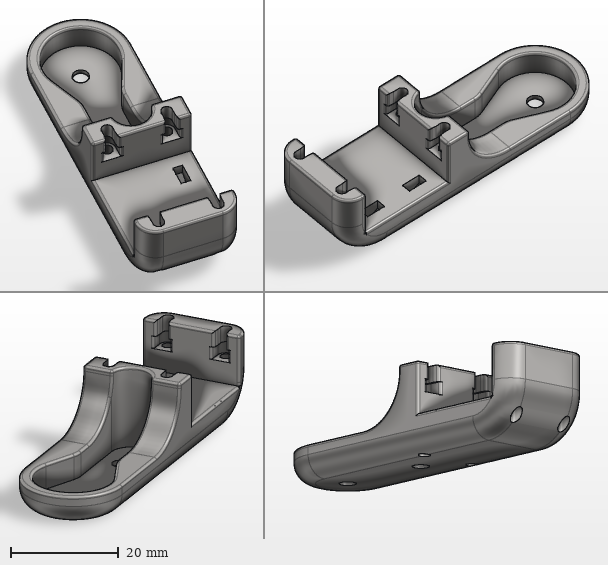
import cadquery as cq
import math

LENGTH = 65.0
WIDTH = 20.0
HEIGHT = 17.0
HALF_WIDTH = WIDTH / 2

END_CURVE_RADIUS = 10.0
SHELL_RADIUS = 4.0
EDGE_RADIUS = 0.5

HEAD_TOP = 6.0
TRAY_FLOOR = 7.0
PILLAR_WIDTH = 5.25
TRAY_START = 40.0
HOOK_FACE = 60.0
RAMP_RADIUS = 10.0
PILLAR_START = TRAY_START - PILLAR_WIDTH
RAMP_START = PILLAR_START - RAMP_RADIUS

KEY_FLOOR = 1.0
KEY_HEAD_X = HALF_WIDTH
KEY_HEAD_RADIUS = 7.6
KEY_END_X = 34.4
KEY_END_RADIUS = 3.95
NECK_X = 20.3
NECK_RADIUS = 5.2
SCREW_DIAMETER = 3.2
SCREW_XS = (KEY_HEAD_X, 29.95)

PIN_DIAMETER = 2.2
PIN_Y = 6.0
PIN_INSET = 2.55
SLOT_MOUTH = 2.4
THROAT_DEPTH = 1.4
WINDOW_WIDTH = 3.4
WINDOW_FLOOR = 11.4
WINDOW_TOP = 13.85

SOCKET_LENGTH = 4.1
SOCKET_WIDTH = 1.95
SOCKET_DEPTH = 2.0
SOCKET_SLOPE = 30.0
SOCKET_XS = (44.8, 55.0)

TOLERANCE = 0.005
MARGIN = 0.65


def outer_shell():
    shell = (
        cq.Workplane("XY")
        .moveTo(LENGTH, -HALF_WIDTH)
        .lineTo(LENGTH, HALF_WIDTH)
        .lineTo(HALF_WIDTH, HALF_WIDTH)
        .threePointArc((0, 0), (HALF_WIDTH, -HALF_WIDTH))
        .close()
        .extrude(HEIGHT)
    )
    shell = shell.faces(">X").edges("<Z").fillet(END_CURVE_RADIUS)
    return shell.faces("<Z").edges("<X").fillet(SHELL_RADIUS)


def relief_cutter():
    """Space above the head and ramp, and the tray between pillar and hook."""
    above = HEIGHT + MARGIN
    ramp_mid = RAMP_RADIUS * math.sqrt(0.5)
    ramp_centre_z = HEAD_TOP + RAMP_RADIUS
    head = (
        cq.Workplane("XZ")
        .moveTo(-MARGIN, HEAD_TOP)
        .lineTo(RAMP_START, HEAD_TOP)
        .threePointArc(
            (RAMP_START + ramp_mid, ramp_centre_z - ramp_mid),
            (PILLAR_START, ramp_centre_z),
        )
        .lineTo(PILLAR_START, above)
        .lineTo(-MARGIN, above)
        .close()
        .extrude(HALF_WIDTH + MARGIN, both=True)
    )
    tray = (
        cq.Workplane("XZ")
        .moveTo(TRAY_START, TRAY_FLOOR)
        .lineTo(HOOK_FACE, TRAY_FLOOR)
        .lineTo(HOOK_FACE, above)
        .lineTo(TRAY_START, above)
        .close()
        .extrude(HALF_WIDTH + MARGIN, both=True)
    )
    return head.union(tray)


def keyhole_cutter():
    dx = NECK_X - KEY_HEAD_X
    corner_distance = math.hypot(dx, KEY_END_RADIUS)
    flare = math.asin(KEY_HEAD_RADIUS / corner_distance) - math.atan2(KEY_END_RADIUS, dx)
    tangent_x = KEY_HEAD_X + KEY_HEAD_RADIUS * math.sin(flare)
    tangent_y = KEY_HEAD_RADIUS * math.cos(flare)
    key = (
        cq.Workplane("XY", origin=(0, 0, KEY_FLOOR))
        .moveTo(tangent_x, tangent_y)
        .lineTo(NECK_X, KEY_END_RADIUS)
        .lineTo(KEY_END_X, KEY_END_RADIUS)
        .threePointArc((KEY_END_X + KEY_END_RADIUS, 0), (KEY_END_X, -KEY_END_RADIUS))
        .lineTo(NECK_X, -KEY_END_RADIUS)
        .lineTo(tangent_x, -tangent_y)
        .threePointArc((KEY_HEAD_X - KEY_HEAD_RADIUS, 0), (tangent_x, tangent_y))
        .close()
        .extrude(HEIGHT)
    )
    neck = cq.selectors.BoxSelector(
        (NECK_X - TOLERANCE, -WIDTH, 0),
        (NECK_X + TOLERANCE, WIDTH, 2 * HEIGHT),
    )
    return key.edges("|Z").edges(neck).fillet(NECK_RADIUS)


def slab(x_range, z_range):
    """Block between two x and two z planes, wider than the part."""
    x_size = x_range[1] - x_range[0]
    z_size = z_range[1] - z_range[0]
    block = cq.Workplane("XY").box(x_size, 2 * WIDTH, z_size, centered=(False, True, False))
    return block.translate((x_range[0], 0, z_range[0]))


def is_exposed_front_edge(edge):
    """True for the convex edges of the head, ramp, pillar and tray sides."""
    middle = edge.positionAt(0.5)
    along_y = abs(edge.tangentAt(0.5).y) > 0.65 - TOLERANCE
    flat_seam = along_y and middle.x > KEY_HEAD_X and middle.z < HEIGHT - TOLERANCE
    inside_keyhole = abs(middle.x - KEY_END_X) < TOLERANCE
    above_side = middle.z > HEAD_TOP - TOLERANCE
    in_front = middle.x < HOOK_FACE - TOLERANCE
    return above_side and in_front and not flat_seam and not inside_keyhole


def is_exposed_hook_edge(edge):
    """True for the top rim of the hook and the two upright edges of its inner face."""
    middle = edge.positionAt(0.5)
    on_rim = middle.z > HEIGHT - TOLERANCE
    on_face = abs(middle.x - HOOK_FACE) < TOLERANCE
    return on_rim or (on_face and abs(middle.y) > HALF_WIDTH - TOLERANCE)


def round_edges(solid, is_chosen):
    chosen = [edge for edge in solid.edges().vals() if is_chosen(edge)]
    return solid.newObject(chosen).fillet(EDGE_RADIUS)


def rounded_body():
    """Stepped body; front and hook are rounded apart so that each rounding ends at the hook face."""
    sharp = outer_shell().cut(relief_cutter()).cut(keyhole_cutter())
    full_height = (-MARGIN, HEIGHT + MARGIN)
    hook_span = (HOOK_FACE, LENGTH + MARGIN)
    front = sharp.intersect(slab((-MARGIN, HOOK_FACE), full_height))
    heel = sharp.intersect(slab(hook_span, (-MARGIN, TRAY_FLOOR)))
    hook = sharp.intersect(slab(hook_span, (TRAY_FLOOR, HEIGHT + MARGIN)))
    front = round_edges(front, is_exposed_front_edge)
    hook = round_edges(hook, is_exposed_hook_edge)
    return front.union(heel).union(hook)


def slot_outline(base_z, mouth_half, throat_x, throat_half):
    """Closed slot plan from a rounded mouth at x = 0, facing -X, to a round end on the pin axis."""
    lip = EDGE_RADIUS
    mid = lip * (1 - math.sqrt(0.5))
    return (
        cq.Workplane("XY", origin=(0, 0, base_z))
        .moveTo(-MARGIN, mouth_half + lip)
        .lineTo(0, mouth_half + lip)
        .threePointArc((mid, mouth_half + mid), (lip, mouth_half))
        .lineTo(throat_x, throat_half)
        .lineTo(PIN_INSET, throat_half)
        .threePointArc((PIN_INSET + throat_half, 0), (PIN_INSET, -throat_half))
        .lineTo(throat_x, -throat_half)
        .lineTo(lip, -mouth_half)
        .threePointArc((mid, -mouth_half - mid), (0, -mouth_half - lip))
        .lineTo(-MARGIN, -mouth_half - lip)
        .close()
    )


def pin_slot_cutters():
    """Pin hole below the window, the window itself, and the narrower entry slot above it."""
    pin_radius = PIN_DIAMETER / 2
    window_half = WINDOW_WIDTH / 2
    hole = (
        cq.Workplane("XY", origin=(PIN_INSET, 0, -MARGIN))
        .circle(pin_radius)
        .extrude(WINDOW_FLOOR + 2 * MARGIN)
    )
    window = slot_outline(WINDOW_FLOOR, window_half, THROAT_DEPTH, window_half)
    window = window.extrude(WINDOW_TOP - WINDOW_FLOOR)
    entry = slot_outline(WINDOW_TOP - MARGIN, SLOT_MOUTH / 2, THROAT_DEPTH, pin_radius)
    entry = entry.extrude(HEIGHT - WINDOW_TOP + 2 * MARGIN)
    return hole, window, entry


def socket_cutter():
    """Rectangular socket whose floor falls from both ends to a valley across its middle."""
    half = SOCKET_LENGTH / 2
    valley = SOCKET_DEPTH + half * math.tan(math.radians(SOCKET_SLOPE))
    return (
        cq.Workplane("XZ")
        .moveTo(-half, MARGIN)
        .lineTo(half, MARGIN)
        .lineTo(half, -SOCKET_DEPTH)
        .lineTo(0, -valley)
        .lineTo(-half, -SOCKET_DEPTH)
        .close()
        .extrude(SOCKET_WIDTH / 2, both=True)
    )


body = rounded_body()

for screw_x in SCREW_XS:
    screw_hole = cq.Workplane("XY").center(screw_x, 0).circle(SCREW_DIAMETER / 2).extrude(HEAD_TOP)
    body = body.cut(screw_hole)

for cutter in pin_slot_cutters():
    facing_hook = cutter.translate((HOOK_FACE, 0, 0))
    facing_pillar = cutter.mirror("YZ").translate((TRAY_START, 0, 0))
    for side in (-1, 1):
        body = body.cut(facing_hook.translate((0, side * PIN_Y, 0)))
        body = body.cut(facing_pillar.translate((0, side * PIN_Y, 0)))

socket = socket_cutter()
for socket_x in SOCKET_XS:
    body = body.cut(socket.translate((socket_x, PIN_Y, TRAY_FLOOR)))

result = body